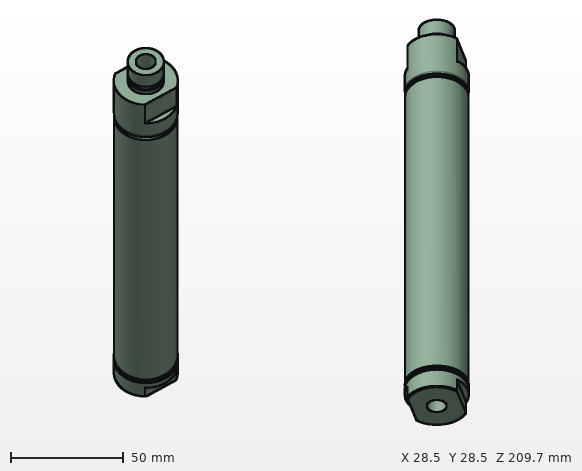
import cadquery as cq

total_length = 209.7
head_diameter = 28.5
tube_diameter = 28.3
bore_diameter = 8.8
flats_width = 22.6

stud_diameter = 16.1
stud_length = 12.8
relief_diameter = 14.9
relief_top_depth = 7.8
relief_bottom_depth = 10.3

top_flat_length = 12.5
bottom_flat_length = 6.3

top_head_length = 22.0
top_lip_width = 0.6
top_groove_floor = 0.6
top_taper_length = 1.3
top_groove_diameter = 26.0
bottom_head_length = 11.7
bottom_lip_z = 9.5
bottom_lip_chamfer_length = 0.6
bottom_groove_diameter = 28.0
edge_chamfer = 0.5

shoulder_z = total_length - stud_length
top_groove_z = shoulder_z - top_head_length
taper_top_z = top_groove_z - top_groove_floor
tube_top_z = taper_top_z - top_taper_length


def cylinder(diameter, bottom_z, top_z):
    """Solid round bar on the Z axis."""
    return cq.Workplane("XY").workplane(offset=bottom_z).circle(diameter / 2).extrude(top_z - bottom_z)


def make_revolved_body():
    """Heads, tube, joint grooves and stud as one turned profile."""
    tube_r = tube_diameter / 2
    head_r = head_diameter / 2
    stud_r = stud_diameter / 2
    relief_r = relief_diameter / 2
    top_groove_r = top_groove_diameter / 2
    bottom_groove_r = bottom_groove_diameter / 2
    relief_top_z = total_length - relief_top_depth
    relief_bottom_z = total_length - relief_bottom_depth
    profile = [
        (0, 0),
        (head_r - edge_chamfer, 0),
        (head_r, edge_chamfer),
        (head_r, bottom_lip_z),
        (bottom_groove_r, bottom_lip_z + bottom_lip_chamfer_length),
        (bottom_groove_r, bottom_head_length - bottom_lip_chamfer_length),
        (head_r, bottom_head_length),
        (tube_r, bottom_head_length),
        (tube_r, tube_top_z),
        (top_groove_r, taper_top_z),
        (top_groove_r, top_groove_z),
        (tube_r, top_groove_z),
        (tube_r, top_groove_z + top_lip_width),
        (head_r, top_groove_z + 2 * top_lip_width),
        (head_r, shoulder_z),
        (stud_r, shoulder_z),
        (stud_r, relief_bottom_z),
        (relief_r, relief_bottom_z),
        (relief_r, relief_top_z),
        (stud_r, relief_top_z),
        (stud_r, total_length),
        (0, total_length),
    ]
    return cq.Workplane("XZ").polyline(profile).close().revolve(360, (0, 0), (0, 1))


def cut_flats(part, bottom_z, length):
    """Cut a pair of parallel wrench flats facing -X and +X."""
    ring = cylinder(2 * head_diameter, bottom_z, bottom_z + length)
    core = (
        cq.Workplane("XY")
        .workplane(offset=bottom_z)
        .rect(flats_width, 2 * head_diameter)
        .extrude(length)
    )
    return part.cut(ring.cut(core))


result = make_revolved_body()
top_flats_z = shoulder_z - top_flat_length
result = cut_flats(result, top_flats_z, top_flat_length)
result = cut_flats(result, 0, bottom_flat_length)
result = result.cut(cylinder(bore_diameter, 0, total_length))